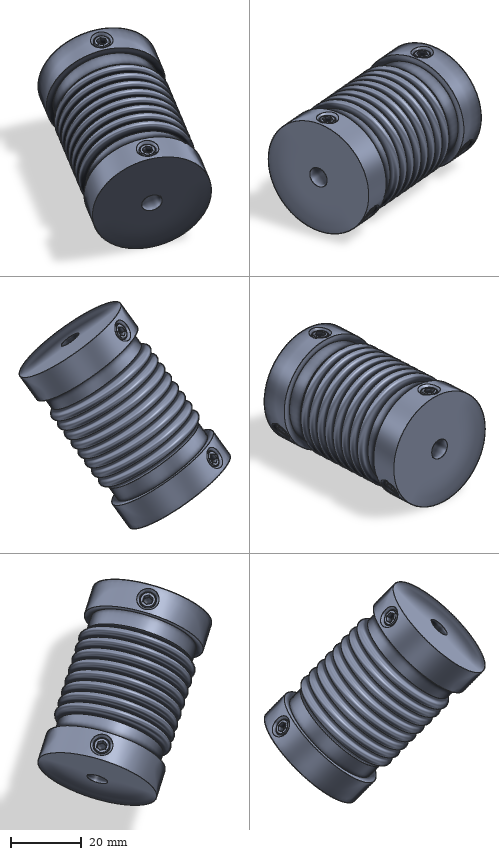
import cadquery as cq
import math

LENGTH = 54.0
CLAMP_DIAMETER = 35.0
CLAMP_WIDTH = 8.35
SHOULDER_DIAMETER = 31.0
SHOULDER_WIDTH = 4.6
BORE_DIAMETER = 6.0

RING_COUNT = 8
RING_WIDTH = 2.2
RING_DIAMETER = 34.15
CORE_DIAMETER = 22.95

SCREW_ANGLES = (0, 120)
SCREW_INSET = 4.3
SCREW_DIAMETER = 4.8
SCREW_FACE_DIAMETER = 4.2
SCREW_FACE_RADIUS = 16.95
HOLE_FLOOR_RADIUS = 15.95
HOLE_CHAMFER = 0.75
SOCKET_ACROSS_FLATS = 2.6
SOCKET_DEPTH = 2.15
SOCKET_TIP_DEPTH = 0.4

BELLOWS_LENGTH = LENGTH - 2 * (CLAMP_WIDTH + SHOULDER_WIDTH)
GAP_WIDTH = (BELLOWS_LENGTH - RING_COUNT * RING_WIDTH) / (RING_COUNT + 1)
RING_PITCH = RING_WIDTH + GAP_WIDTH
ROOT_RADIUS = GAP_WIDTH / 2


def cylinder_along_x(diameter, start, length):
    """Cylinder on the X axis, running from start towards +X."""
    return cq.Workplane("YZ", origin=(start, 0, 0)).circle(diameter / 2).extrude(length)


def make_groove(start):
    """Ring-shaped gap between two walls, with a fully rounded root."""
    end = start + GAP_WIDTH
    outside = CLAMP_DIAMETER / 2
    core_radius = CORE_DIAMETER / 2
    arc_end = core_radius + ROOT_RADIUS
    return (
        cq.Workplane("XY")
        .moveTo(start, outside)
        .lineTo(start, arc_end)
        .threePointArc((start + ROOT_RADIUS, core_radius), (end, arc_end))
        .lineTo(end, outside)
        .close()
        .revolve(360, (0, 0, 0), (1, 0, 0))
    )


def make_ring(start):
    """Bellows ring with a fully rounded crest."""
    half_width = RING_WIDTH / 2
    end = start + RING_WIDTH
    crest_radius = RING_DIAMETER / 2
    return (
        cq.Workplane("XY")
        .moveTo(start, 0)
        .lineTo(start, crest_radius - half_width)
        .threePointArc((start + half_width, crest_radius), (end, crest_radius - half_width))
        .lineTo(end, 0)
        .close()
        .revolve(360, (0, 0, 0), (1, 0, 0))
    )


def make_bellows():
    """Solid core with evenly spaced rings and rounded roots between them."""
    left_end = -BELLOWS_LENGTH / 2
    bellows = cylinder_along_x(CORE_DIAMETER + 2 * ROOT_RADIUS, left_end, BELLOWS_LENGTH)
    for i in range(RING_COUNT):
        bellows = bellows.union(make_ring(left_end + GAP_WIDTH + i * RING_PITCH))
    for i in range(RING_COUNT + 1):
        bellows = bellows.cut(make_groove(left_end + i * RING_PITCH))
    return bellows


def make_screw():
    """Visible end of a set screw along +Z, with its edge chamfer."""
    edge_chamfer = (SCREW_DIAMETER - SCREW_FACE_DIAMETER) / 2
    return (
        cq.Workplane("XY", origin=(0, 0, HOLE_FLOOR_RADIUS))
        .circle(SCREW_DIAMETER / 2)
        .extrude(SCREW_FACE_RADIUS - HOLE_FLOOR_RADIUS)
        .faces(">Z")
        .chamfer(edge_chamfer)
    )


def make_socket():
    """Hexagonal socket of a set screw along +Z, ending in a shallow cone."""
    socket_bottom = SCREW_FACE_RADIUS - SOCKET_DEPTH
    across_corners = SOCKET_ACROSS_FLATS / math.cos(math.radians(30))
    hexagon = (
        cq.Workplane("XY", origin=(0, 0, socket_bottom))
        .polygon(6, across_corners)
        .extrude(SOCKET_DEPTH)
    )
    tip = (
        cq.Workplane("XZ")
        .moveTo(0, socket_bottom - SOCKET_TIP_DEPTH)
        .lineTo(SOCKET_ACROSS_FLATS / 2, socket_bottom)
        .lineTo(0, socket_bottom)
        .close()
        .revolve(360, (0, 0, 0), (0, 1, 0))
    )
    return hexagon.union(tip)


def make_clamp(start, screw_position):
    """Clamp rim with its chamfered screw holes and the set screws inside them."""

    def at_screw(shape, angle):
        """Move a shape built along +Z to the screw position and turn it about X."""
        return shape.translate((screw_position, 0, 0)).rotate((0, 0, 0), (1, 0, 0), angle)

    clamp = cylinder_along_x(CLAMP_DIAMETER, start, CLAMP_WIDTH)
    hole = (
        cq.Workplane("XY", origin=(0, 0, HOLE_FLOOR_RADIUS))
        .circle(SCREW_DIAMETER / 2)
        .extrude(CLAMP_DIAMETER / 2)
    )
    for angle in SCREW_ANGLES:
        clamp = clamp.cut(at_screw(hole, angle))
    clamp = clamp.edges("not (%CIRCLE or %LINE)").chamfer(HOLE_CHAMFER)
    for angle in SCREW_ANGLES:
        clamp = clamp.union(at_screw(make_screw(), angle))
        clamp = clamp.cut(at_screw(make_socket(), angle))
    return clamp


left_clamp = make_clamp(-LENGTH / 2, SCREW_INSET - LENGTH / 2)
right_clamp = make_clamp(LENGTH / 2 - CLAMP_WIDTH, LENGTH / 2 - SCREW_INSET)
shoulders = cylinder_along_x(
    SHOULDER_DIAMETER, -BELLOWS_LENGTH / 2 - SHOULDER_WIDTH, SHOULDER_WIDTH
).union(cylinder_along_x(SHOULDER_DIAMETER, BELLOWS_LENGTH / 2, SHOULDER_WIDTH))

result = (
    make_bellows()
    .union(shoulders)
    .union(left_clamp)
    .union(right_clamp)
    .cut(cylinder_along_x(BORE_DIAMETER, -LENGTH / 2, LENGTH))
)